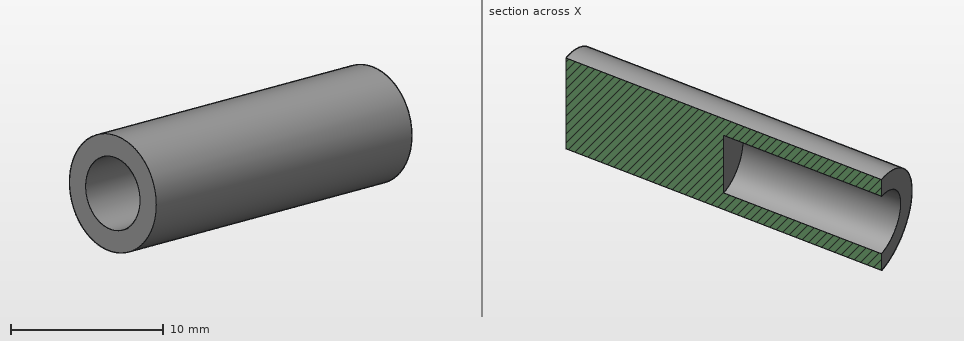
import cadquery as cq

outer_diameter = 8.0
length = 24.0
bore_diameter = 5.0
bore_depth = length / 2
front_y = -length / 2


def cylinder_from_front(diameter, depth):
    """Cylinder on the Y axis, running from the -Y end face toward +Y."""
    front_plane = cq.Workplane("XZ", origin=(0, front_y, 0))
    return front_plane.circle(diameter / 2).extrude(-depth)


body = cylinder_from_front(outer_diameter, length)
bore = cylinder_from_front(bore_diameter, bore_depth)

result = body.cut(bore)